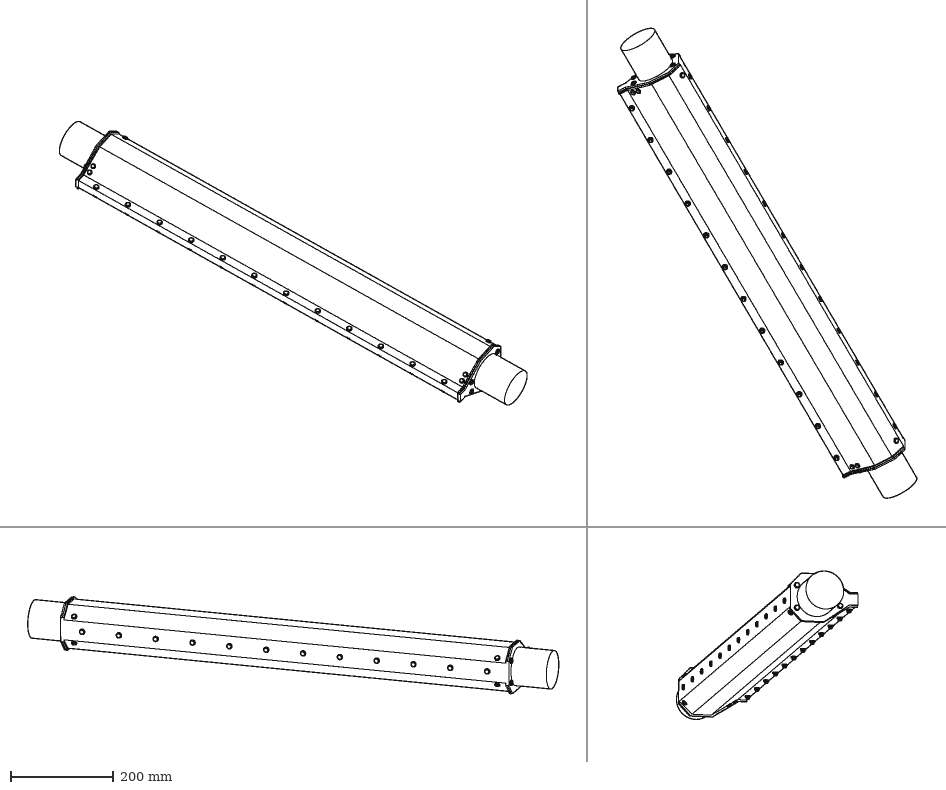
import cadquery as cq

shaft_length = 1072.0
shaft_diameter = 76.0

back_y = 51.0
lip_y = -85.0
body_lip_y = -84.0
plate_thickness = 6.0
cover_thickness = 3.0
plate_outer_x = 463.0
plate_inner_x = plate_outer_x - plate_thickness
inner_layer_thickness = plate_thickness - cover_thickness
cover_start_x = plate_outer_x - cover_thickness

body_half_height = 45.0
body_top_back_y = 26.0
body_back_half_height = 20.0
body_top_front_y = -13.0
body_lip_half_height = 11.3
body_slope_end_y = -66.0

plate_half_height = 48.0
plate_top_back_y = 29.0
plate_back_half_height = 25.0
plate_top_front_y = -16.0
plate_lip_half_height = 14.5
plate_slope_end_y = -69.0

cover_half_height = 47.7
cover_lip_half_height = body_lip_half_height
cover_slope_end_y = -68.0

head_height = 3.0
head_embed = 2.0
head_chamfer = 1.5
row_head_diameter = 11.0
row_count = 12
row_pitch = 76.0
lip_bolt_y = -77.0
tip_diameter = 7.6
tip_z = -17.7

end_head_diameter = 11.0
end_back_bolt = (39.0, 23.0)
end_front_bolt = (-48.0, 14.5)

chamfer_head_diameter = 10.5
chamfer_bolt_x = 437.0
chamfer_bolt_y = 45.0

slope_head_diameter = 9.5
slope_bolt_x = 448.0
slope_bolt_ys = (-46.0, -58.0)


def mirrored_prism(upper_points, start_x, length):
    """Extrude along X the section made of the upper points and their mirror in Z."""
    lower_points = [(y, -z) for y, z in reversed(upper_points)]
    section = cq.Workplane("YZ", origin=(start_x, 0, 0)).polyline(upper_points + lower_points).close()
    return section.extrude(length)


def round_head(base, normal, diameter, height=head_height):
    """Chamfered round fastener head standing on a face, sunk slightly below it to join solidly."""
    direction = cq.Vector(*normal).normalized()
    start = cq.Vector(*base) - direction * head_embed
    plane = cq.Plane(origin=start, normal=direction)
    head = cq.Workplane(plane).circle(diameter / 2).extrude(height + head_embed)
    return head.faces(cq.selectors.DirectionMinMaxSelector(direction, True)).chamfer(head_chamfer)


def head_on_sloped_face(x, y, side, face_start, face_end, diameter):
    """Head at a given Y on the sloped face between two section points; side is +1 above, -1 below."""
    slope = (face_end[1] - face_start[1]) / (face_end[0] - face_start[0])
    z = face_start[1] + (y - face_start[0]) * slope
    return round_head((x, y, side * z), (0, -slope, side), diameter)


body_points = [
    (back_y, body_back_half_height),
    (body_top_back_y, body_half_height),
    (body_top_front_y, body_half_height),
    (body_slope_end_y, body_lip_half_height),
    (body_lip_y, body_lip_half_height),
]
plate_points = [
    (back_y, plate_back_half_height),
    (plate_top_back_y, plate_half_height),
    (plate_top_front_y, plate_half_height),
    (plate_slope_end_y, plate_lip_half_height),
    (lip_y, plate_lip_half_height),
]
cover_points = [
    (back_y, plate_back_half_height),
    (plate_top_back_y, cover_half_height),
    (plate_top_front_y, cover_half_height),
    (cover_slope_end_y, cover_lip_half_height),
    (lip_y, cover_lip_half_height),
]

shaft = cq.Workplane("YZ", origin=(-shaft_length / 2, 0, 0)).circle(shaft_diameter / 2).extrude(shaft_length)
result = shaft.union(mirrored_prism(body_points, -plate_inner_x, 2 * plate_inner_x))
for end in (1, -1):
    result = result.union(mirrored_prism(plate_points, end * plate_inner_x, end * inner_layer_thickness))
    result = result.union(mirrored_prism(cover_points, end * cover_start_x, end * cover_thickness))

for index in range(row_count):
    x = (index - (row_count - 1) / 2) * row_pitch
    result = result.union(round_head((x, back_y, 0), (0, 1, 0), row_head_diameter))
    for side in (1, -1):
        base = (x, lip_bolt_y, side * body_lip_half_height)
        result = result.union(round_head(base, (0, 0, side), row_head_diameter))
    tip_base = (x, lip_bolt_y, -body_lip_half_height)
    tip_height = -tip_z - body_lip_half_height
    result = result.union(round_head(tip_base, (0, 0, -1), tip_diameter, tip_height))

chamfer_start, chamfer_end, slope_start, slope_end = body_points[:4]

for end in (1, -1):
    for side in (1, -1):
        for y, z in (end_back_bolt, end_front_bolt):
            base = (end * plate_outer_x, y, side * z)
            result = result.union(round_head(base, (end, 0, 0), end_head_diameter))

        x = end * chamfer_bolt_x
        result = result.union(
            head_on_sloped_face(x, chamfer_bolt_y, side, chamfer_start, chamfer_end, chamfer_head_diameter)
        )
        x = end * slope_bolt_x
        for y in slope_bolt_ys:
            result = result.union(
                head_on_sloped_face(x, y, side, slope_start, slope_end, slope_head_diameter)
            )